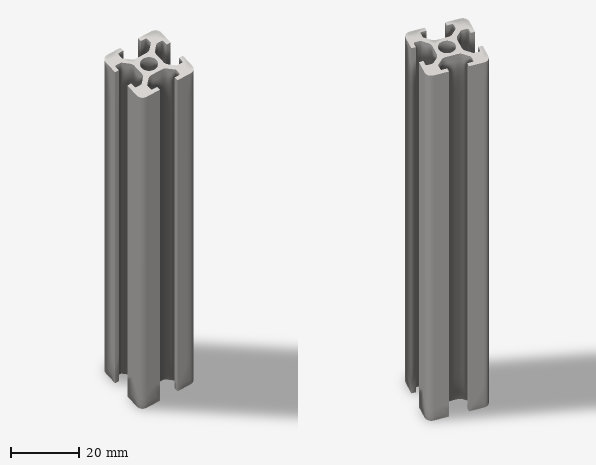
import cadquery as cq

length = 140.0
width = 20.0
corner_radius = 2.1
bore_diameter = 5.3

slot_opening = 6.3
lip_thickness = 1.4
channel_width = 10.4
core_width = 7.8
web_thickness = 1.7
floor_fillet = 2.0
lip_fillet = 0.4

half_width = width / 2
half_opening = slot_opening / 2
half_channel = channel_width / 2
floor_height = core_width / 2
lip_height = half_width - lip_thickness
flank_offset = web_thickness / 2 * 2**0.5
shoulder_height = half_channel + flank_offset
half_floor = floor_height - flank_offset


def make_bar():
    bar = cq.Workplane("XY").rect(width, width).extrude(length)
    return bar.edges("|Z").fillet(corner_radius)


def make_slot():
    """Solid filling the T-slot on the +Y side."""
    right_side = [
        (half_floor, floor_height),
        (half_channel, shoulder_height),
        (half_channel, lip_height),
        (half_opening, lip_height),
        (half_opening, half_width),
    ]
    left_side = [(-x, y) for x, y in reversed(right_side)]
    slot = cq.Workplane("XY").polyline(right_side + left_side).close().extrude(length)
    slot = slot.faces("<Y").edges("|Z").fillet(floor_fillet)
    return slot.faces("<X or >X").edges(">Y").fillet(lip_fillet)


result = make_bar()
slot = make_slot()
for quarter_turn in range(4):
    result = result.cut(slot.rotate((0, 0, 0), (0, 0, 1), 90 * quarter_turn))

result = result.faces(">Z").workplane(origin=(0, 0, length)).hole(bore_diameter)